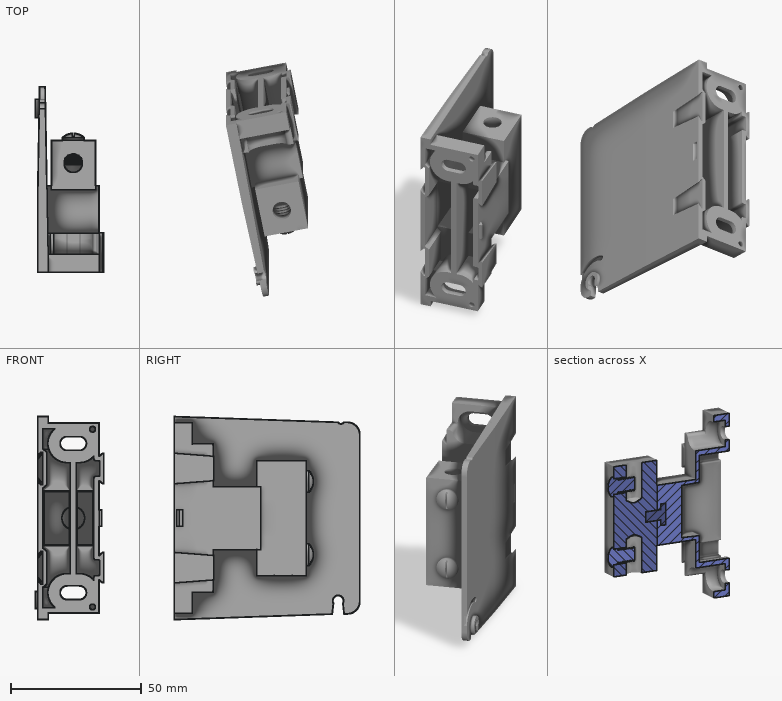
import cadquery as cq
import math

HEIGHT = 78.1
PLATE_LENGTH = 71.4
PLATE_THICKNESS = 4.15
EDGE_DRAFT = 2.0
FACE_DRAFT = 1.0
OUTER_BEND_Y = 31.8
CORNER_RADIUS = 4.85

HOOK_Y = 63.0
HOOK_Z = -31.8
HOOK_BORE_RADIUS = 2.0
HOOK_RING_RADIUS = 3.6
HOOK_RING_HEIGHT = 0.9
NECK_DROP = 1.1
NECK_HALF_WIDTH = 1.8
MOUTH_HALF_WIDTH = 2.5
NOTCH_FRONT_Y = 62.95
NOTCH_REAR_Y = 65.2
NOTCH_DEPTH = 0.6

GROOVE_RADIUS = 9.7
GROOVE_WIDTH = 1.95
GROOVE_END_ANGLE = 26.0
GROOVE_DEPTH = 1.2
LIP_START_Y = 70.4
LIP_CREST_Y = 71.0
LIP_CREST_DEPTH = 0.4

BASE_WIDTH = 23.6
FLANGE_HALF_HEIGHT = 36.55
FLANGE_DEPTH = 7.0
LOWER_HALF_HEIGHT = 28.5
LOWER_DEPTH = 15.0
UPPER_HALF_HEIGHT = 12.1
UPPER_DEPTH = 33.35
BODY_X = 2.35
JOIN = 0.8
CENTER_X = 13.7

LUG_Z = 28.7
SLOT_STRAIGHT = 4.85
SLOT_RADIUS = 2.6
LUG_RADIUS = 7.35
LUG_FLOOR = 2.0
RECESS_RADIUS = 5.15
RECESS_LIP_ROUND = 1.65
PLATE_STEP_X = 4.8
PLATE_STEP_DROP = 0.4
PILOT_X = 21.1
PILOT_Z = 34.1
PILOT_RADIUS = 1.1
PILOT_DEPTH = 3.9

WALL_INNER_X = 1.9
CAVITY_RIGHT_X = 21.6
CAVITY_HALF_HEIGHT = 26.5
CAVITY_DEPTH = 13.1
CORNER_POCKET_HALF_HEIGHT = 34.4
CORNER_POCKET_DEPTH = 6.25
RIB_THICKNESS = 2.2
DEEP_HALF_HEIGHT = 10.55
DEEP_LEFT_X = 2.1
DEEP_FLOOR_Y = 28.1
DEEP_DRAFT = 1.5

KEY_Z = 19.05
KEY_LENGTH = 15.3
KEY_TAPER = 1.2
ROOT_HALF_WIDTH = 4.7
KEY_TIP_HALF_WIDTH = 5.85
KEY_SLANT_DEPTH = 1.3
KEY_DEPTH = 1.8
KEYWAY_TIP_HALF_WIDTH = 6.3
KEYWAY_SLANT_DEPTH = 1.25
KEYWAY_DEPTH = 1.9
KEYWAY_BACK_X = 3.4
KEYWAY_BACK_HALF_WIDTH = 6.3
KEYWAY_BACK_CHAMFER = 1.3
KEY_HOLLOW_X = 23.8
KEY_HOLLOW_HALF_WIDTH = 3.05
KEY_HOLLOW_ROUND = 0.55

WEDGE_FRONT_Y = 1.1
WEDGE_RIDGE_Y = 2.0
WEDGE_REAR_Y = 3.35
WEDGE_HEIGHT = 1.1
WEDGE_HALF_WIDTH = 3.2
CATCH_DEPTH = 1.25
CATCH_HALF_WIDTH = 3.75

BLOCK_WIDTH = 17.0
BLOCK_X = 5.2
BLOCK_Y = 31.8
BLOCK_DEPTH = 19.0
BLOCK_HALF_HEIGHT = 22.1
WIRE_HOLE_Y = 41.95
WIRE_HOLE_RADIUS = 3.5
WIRE_HOLE_DEPTH = 14.3
DRILL_TIP_ANGLE = 118.0

CLAMP_Z = 14.05
CLAMP_RADIUS = 3.3
THREAD_PITCH = 1.0
THREAD_DEPTH = 0.55
THREAD_TURNS = 7
CLAMP_TIP_Y = 41.5
CLAMP_HEAD_RADIUS = 4.2
CLAMP_RIM_HEIGHT = 1.0
CLAMP_HEAD_HEIGHT = 2.7
DRIVE_SLOT_WIDTH = 0.6
DRIVE_SLOT_DEPTH = 1.1

MOUNT_HEAD_RADIUS = 4.4
MOUNT_HEAD_HEIGHT = 1.95
MOUNT_RADIUS = 2.35
MOUNT_TIP_Y = 36.7

BLOCK_REAR_Y = BLOCK_Y + BLOCK_DEPTH
SIDES = (-1, 1)


def front_plane(y, x=0.0, z=0.0):
    """Workplane facing the front; a negative extrusion runs toward +Y."""
    return cq.Workplane("XZ", origin=(x, y, z))


def side_plane(x):
    return cq.Workplane("YZ", origin=(x, 0, 0))


def block_between(x0, x1, y0, y1, z0, z1):
    return cq.Workplane("XY").box(x1 - x0, y1 - y0, z1 - z0, centered=False).translate((x0, y0, z0))


def cylinder_along_y(x, z, radius, y0, y1):
    return front_plane(y0, x, z).circle(radius).extrude(y0 - y1)


def obround_along_y(z, radius, y0, y1):
    slot = front_plane(y0, CENTER_X, z).slot2D(SLOT_STRAIGHT + 2 * radius, 2 * radius)
    return slot.extrude(y0 - y1)


def dovetail(x, z, slant_depth, depth, tip_half_width):
    """Dovetail rising toward +X from a face at x, tapering from front to back."""

    def outline(half_loss):
        root = ROOT_HALF_WIDTH - half_loss
        tip = tip_half_width - half_loss
        upper = [(0, root), (slant_depth, tip), (depth, tip)]
        return upper + [(across, -half) for across, half in reversed(upper)]

    front = front_plane(0, x, z).polyline(outline(0)).close()
    rear = front.workplane(offset=-KEY_LENGTH).polyline(outline(KEY_TAPER)).close()
    return rear.loft(ruled=True)


def snap_wedge(x, height, half_width):
    """Wedge rising toward +X from a face at x, steep at the front and ramped at the rear."""
    profile = [
        (x, WEDGE_FRONT_Y),
        (x + height, WEDGE_FRONT_Y),
        (x + height, WEDGE_RIDGE_Y),
        (x, WEDGE_REAR_Y),
    ]
    return cq.Workplane("XY").polyline(profile).close().extrude(half_width, both=True)


def edge_z(y):
    """Height of the drafted top edge of the plate at depth y."""
    return HEIGHT / 2 - y * math.tan(math.radians(EDGE_DRAFT))


def outer_x(y):
    """Position of the outer face of the plate at depth y behind the bend."""
    return (y - OUTER_BEND_Y) * math.tan(math.radians(FACE_DRAFT))


REAR_LEAN = outer_x(PLATE_LENGTH)


def plate_outline():
    corner_y = PLATE_LENGTH - CORNER_RADIUS
    flat_z = edge_z(NOTCH_FRONT_Y)
    corner_z = flat_z - CORNER_RADIUS
    diagonal = CORNER_RADIUS * math.sin(math.pi / 4)
    notch_middle = ((NOTCH_FRONT_Y + NOTCH_REAR_Y) / 2, flat_z - NOTCH_DEPTH)
    return (
        side_plane(0)
        .moveTo(0, -HEIGHT / 2)
        .lineTo(0, HEIGHT / 2)
        .lineTo(NOTCH_FRONT_Y, flat_z)
        .threePointArc(notch_middle, (NOTCH_REAR_Y, flat_z))
        .lineTo(corner_y, flat_z)
        .threePointArc((corner_y + diagonal, corner_z + diagonal), (PLATE_LENGTH, corner_z))
        .lineTo(PLATE_LENGTH, -corner_z)
        .threePointArc((corner_y + diagonal, -corner_z - diagonal), (corner_y, -flat_z))
        .lineTo(NOTCH_FRONT_Y, -flat_z)
        .close()
    )


def make_plate():
    rear_inner_x = PLATE_THICKNESS - PLATE_LENGTH * math.tan(math.radians(FACE_DRAFT))
    section = [
        (0, 0),
        (PLATE_THICKNESS, 0),
        (rear_inner_x, PLATE_LENGTH),
        (REAR_LEAN, PLATE_LENGTH),
        (0, OUTER_BEND_Y),
    ]
    drafted = cq.Workplane("XY").polyline(section).close().extrude(HEIGHT / 2, both=True)
    return plate_outline().extrude(PLATE_THICKNESS).intersect(drafted)


def add_hook(plate):
    """Raised ring on the outer face, with a bore opening downward through a flared mouth."""
    ring = side_plane(-HOOK_RING_HEIGHT).center(HOOK_Y, HOOK_Z).circle(HOOK_RING_RADIUS)
    plate = plate.union(ring.extrude(HOOK_RING_HEIGHT + REAR_LEAN + JOIN))
    cut_length = HOOK_RING_HEIGHT + PLATE_THICKNESS
    bore = side_plane(-HOOK_RING_HEIGHT).center(HOOK_Y, HOOK_Z).circle(HOOK_BORE_RADIUS).extrude(cut_length)
    mouth_z = -HEIGHT / 2 - HOOK_Z
    mouth = (
        side_plane(-HOOK_RING_HEIGHT)
        .center(HOOK_Y, HOOK_Z)
        .polyline([
            (-NECK_HALF_WIDTH, -NECK_DROP),
            (NECK_HALF_WIDTH, -NECK_DROP),
            (MOUTH_HALF_WIDTH, mouth_z),
            (-MOUTH_HALF_WIDTH, mouth_z),
        ])
        .close()
        .extrude(cut_length)
    )
    return plate.cut(bore).cut(mouth)


def groove_tool():
    """Arc-shaped cutter that runs out through the rear edge over a low ridge."""
    inner = GROOVE_RADIUS - GROOVE_WIDTH / 2
    outer = GROOVE_RADIUS + GROOVE_WIDTH / 2
    end = math.radians(GROOVE_END_ANGLE)
    tip = end + GROOVE_WIDTH / 2 / GROOVE_RADIUS

    def on_circle(radius, angle):
        return (-radius * math.sin(angle), radius * math.cos(angle))

    quarter = math.pi / 2
    arc = (
        side_plane(0)
        .center(HOOK_Y, HOOK_Z)
        .moveTo(outer, 0)
        .threePointArc(on_circle(outer, (end - quarter) / 2), on_circle(outer, end))
        .threePointArc(on_circle(GROOVE_RADIUS, tip), on_circle(inner, end))
        .threePointArc(on_circle(inner, (end - quarter) / 2), on_circle(inner, -quarter))
        .close()
        .extrude(PLATE_THICKNESS)
    )
    front_y = HOOK_Y - outer
    depth_profile = (
        cq.Workplane("XY")
        .polyline([
            (0, front_y),
            (outer_x(front_y) + GROOVE_DEPTH, front_y),
            (outer_x(LIP_START_Y) + GROOVE_DEPTH, LIP_START_Y),
            (outer_x(LIP_CREST_Y) + LIP_CREST_DEPTH, LIP_CREST_Y),
            (REAR_LEAN + GROOVE_DEPTH, PLATE_LENGTH),
            (0, PLATE_LENGTH),
        ])
        .close()
        .extrude(HEIGHT / 2, both=True)
    )
    return arc.intersect(depth_profile)


def make_base():
    """Solid stepped base: flange, lower block, and upper block with the block seat."""
    base = block_between(BODY_X, BASE_WIDTH, 0, FLANGE_DEPTH, -FLANGE_HALF_HEIGHT, FLANGE_HALF_HEIGHT)
    lower = block_between(
        BODY_X, BASE_WIDTH, FLANGE_DEPTH, LOWER_DEPTH, -LOWER_HALF_HEIGHT, LOWER_HALF_HEIGHT
    )
    upper = block_between(BODY_X, BASE_WIDTH, 0, UPPER_DEPTH, -UPPER_HALF_HEIGHT, UPPER_HALF_HEIGHT)
    seat = block_between(
        BLOCK_X, BLOCK_X + BLOCK_WIDTH, BLOCK_Y, UPPER_DEPTH, -UPPER_HALF_HEIGHT, UPPER_HALF_HEIGHT
    )
    for side in SIDES:
        recess = obround_along_y(side * LUG_Z, RECESS_RADIUS, LUG_FLOOR, LOWER_DEPTH)
        base = base.cut(recess)
        lower = lower.cut(recess)
    right_lip = cq.selectors.BoxSelector(
        (CENTER_X, FLANGE_DEPTH, -LUG_Z),
        (BASE_WIDTH - JOIN, LOWER_DEPTH, LUG_Z),
    )
    lower = lower.edges(right_lip).edges("|Y").edges("<Z or >Z").fillet(RECESS_LIP_ROUND)
    step_z = LOWER_HALF_HEIGHT - PLATE_STEP_DROP
    for z0, z1 in ((step_z, LOWER_HALF_HEIGHT), (-LOWER_HALF_HEIGHT, -step_z)):
        lower = lower.cut(block_between(BODY_X, PLATE_STEP_X, FLANGE_DEPTH, LOWER_DEPTH, z0, z1))
    return base.union(lower).union(upper.cut(seat))


def cavity_tool():
    """Front hollow, leaving the lugs, the centre rib and the walls behind the keyways."""
    cavity = block_between(
        WALL_INNER_X, CAVITY_RIGHT_X, 0, CAVITY_DEPTH, -CAVITY_HALF_HEIGHT, CAVITY_HALF_HEIGHT
    )
    corner_pockets = block_between(
        WALL_INNER_X, CENTER_X - SLOT_STRAIGHT / 2, 0, CORNER_POCKET_DEPTH,
        -CORNER_POCKET_HALF_HEIGHT, CORNER_POCKET_HALF_HEIGHT,
    )
    cavity = cavity.union(corner_pockets)
    base_half = KEYWAY_BACK_HALF_WIDTH + KEYWAY_BACK_CHAMFER
    for side in SIDES:
        cavity = cavity.cut(
            front_plane(0, 0, side * KEY_Z)
            .polyline([
                (WALL_INNER_X, base_half),
                (KEYWAY_BACK_X, KEYWAY_BACK_HALF_WIDTH),
                (KEYWAY_BACK_X, -KEYWAY_BACK_HALF_WIDTH),
                (WALL_INNER_X, -base_half),
            ])
            .close()
            .extrude(-CAVITY_DEPTH)
        )
        hollow = block_between(
            CAVITY_RIGHT_X - JOIN, KEY_HOLLOW_X, 0, CAVITY_DEPTH,
            side * KEY_Z - KEY_HOLLOW_HALF_WIDTH, side * KEY_Z + KEY_HOLLOW_HALF_WIDTH,
        )
        cavity = cavity.union(hollow.edges("|Y and >X").fillet(KEY_HOLLOW_ROUND))
    mouth_edges = cq.selectors.BoxSelector(
        (CAVITY_RIGHT_X - KEY_HOLLOW_ROUND, 0, -KEY_Z - ROOT_HALF_WIDTH),
        (CAVITY_RIGHT_X + KEY_HOLLOW_ROUND, CAVITY_DEPTH, KEY_Z + ROOT_HALF_WIDTH),
    )
    cavity = cavity.edges(mouth_edges).edges("|Y").fillet(KEY_HOLLOW_ROUND)
    for side in SIDES:
        cavity = cavity.cut(obround_along_y(side * LUG_Z, LUG_RADIUS, 0, CAVITY_DEPTH))
    rib = block_between(
        CENTER_X - RIB_THICKNESS / 2, CENTER_X + RIB_THICKNESS / 2, 0, CAVITY_DEPTH, -HEIGHT / 2, HEIGHT / 2
    )
    return cavity.cut(rib)


def deep_pocket_tool(x0, x1):
    """Drafted pocket reaching from the cavity up into the upper block."""
    opening = front_plane(CAVITY_DEPTH, (x0 + x1) / 2).rect(x1 - x0, 2 * DEEP_HALF_HEIGHT)
    return opening.extrude(CAVITY_DEPTH - DEEP_FLOOR_Y, taper=DEEP_DRAFT)


def mount_screw_shape():
    """Plain screw with its head flush in the deep floor; also the cutter for its seat."""
    head_end = DEEP_FLOOR_Y + MOUNT_HEAD_HEIGHT
    head = cylinder_along_y(CENTER_X, 0, MOUNT_HEAD_RADIUS, DEEP_FLOOR_Y, head_end)
    return head.union(cylinder_along_y(CENTER_X, 0, MOUNT_RADIUS, DEEP_FLOOR_Y, MOUNT_TIP_Y))


def make_housing():
    housing = add_hook(make_plate()).cut(groove_tool()).union(make_base())
    for side in SIDES:
        z = side * KEY_Z
        housing = housing.union(dovetail(BASE_WIDTH, z, KEY_SLANT_DEPTH, KEY_DEPTH, KEY_TIP_HALF_WIDTH))
    housing = housing.union(snap_wedge(BASE_WIDTH, WEDGE_HEIGHT, WEDGE_HALF_WIDTH))
    housing = housing.cut(cavity_tool())
    housing = housing.cut(deep_pocket_tool(DEEP_LEFT_X, CENTER_X - RIB_THICKNESS / 2))
    housing = housing.cut(deep_pocket_tool(CENTER_X + RIB_THICKNESS / 2, CAVITY_RIGHT_X))
    for side in SIDES:
        z = side * KEY_Z
        housing = housing.cut(dovetail(0, z, KEYWAY_SLANT_DEPTH, KEYWAY_DEPTH, KEYWAY_TIP_HALF_WIDTH))
        housing = housing.cut(obround_along_y(side * LUG_Z, SLOT_RADIUS, 0, LUG_FLOOR))
        housing = housing.cut(cylinder_along_y(PILOT_X, side * PILOT_Z, PILOT_RADIUS, 0, PILOT_DEPTH))
    housing = housing.cut(snap_wedge(0, CATCH_DEPTH, CATCH_HALF_WIDTH))
    return housing.cut(mount_screw_shape())


def clamp_thread_points():
    """Half section of the thread, as a ring of V grooves for each turn from the tip up."""
    root = CLAMP_RADIUS - THREAD_DEPTH
    points = [(root, CLAMP_TIP_Y)]
    for turn in range(THREAD_TURNS):
        turn_y = CLAMP_TIP_Y + turn * THREAD_PITCH
        points.append((CLAMP_RADIUS, turn_y + THREAD_PITCH / 2))
        points.append((root, turn_y + THREAD_PITCH))
    points.append((CLAMP_RADIUS, CLAMP_TIP_Y + THREAD_TURNS * THREAD_PITCH + THREAD_PITCH / 2))
    return points


def clamp_screw(z):
    """Slotted round-head screw, revolved about its own axis along Y."""
    rim_y = BLOCK_REAR_Y + CLAMP_RIM_HEIGHT
    top_y = BLOCK_REAR_Y + CLAMP_HEAD_HEIGHT
    rise = top_y - rim_y
    dome_radius = (CLAMP_HEAD_RADIUS**2 + rise**2) / (2 * rise)
    half_x = CLAMP_HEAD_RADIUS / 2
    half_y = top_y - dome_radius + math.sqrt(dome_radius**2 - half_x**2)
    screw = (
        cq.Workplane("XY", origin=(CENTER_X, 0, z))
        .polyline([(0, CLAMP_TIP_Y), *clamp_thread_points()])
        .lineTo(CLAMP_RADIUS, BLOCK_REAR_Y)
        .lineTo(CLAMP_HEAD_RADIUS, BLOCK_REAR_Y)
        .lineTo(CLAMP_HEAD_RADIUS, rim_y)
        .threePointArc((half_x, half_y), (0, top_y))
        .close()
        .revolve(360, (0, 0, 0), (0, 1, 0))
    )
    drive_slot = block_between(
        CENTER_X - DRIVE_SLOT_WIDTH / 2, CENTER_X + DRIVE_SLOT_WIDTH / 2,
        top_y - DRIVE_SLOT_DEPTH, top_y,
        z - CLAMP_HEAD_RADIUS, z + CLAMP_HEAD_RADIUS,
    )
    return screw.cut(drive_slot)


def wire_hole_tool(side):
    """Drilled hole with a conical bottom, entering from the top or bottom end."""
    cone = WIRE_HOLE_RADIUS / math.tan(math.radians(DRILL_TIP_ANGLE / 2))
    end = BLOCK_HALF_HEIGHT
    floor = end - WIRE_HOLE_DEPTH
    profile = [(0, end), (WIRE_HOLE_RADIUS, end), (WIRE_HOLE_RADIUS, floor), (0, floor - cone)]
    return (
        cq.Workplane("XZ", origin=(CENTER_X, WIRE_HOLE_Y, 0))
        .polyline([(x, side * z) for x, z in profile])
        .close()
        .revolve(360, (0, 0, 0), (0, 1, 0))
    )


def make_block():
    block = block_between(
        BLOCK_X, BLOCK_X + BLOCK_WIDTH, BLOCK_Y, BLOCK_REAR_Y, -BLOCK_HALF_HEIGHT, BLOCK_HALF_HEIGHT
    )
    for side in SIDES:
        block = block.cut(wire_hole_tool(side))
        block = block.cut(cylinder_along_y(CENTER_X, side * CLAMP_Z, CLAMP_RADIUS, CLAMP_TIP_Y, BLOCK_REAR_Y))
    return block.cut(mount_screw_shape())


housing = make_housing()
terminal_block = make_block()
mount_screw = mount_screw_shape()
clamp_screws = [clamp_screw(side * CLAMP_Z) for side in SIDES]

result = cq.Compound.makeCompound([
    housing.val(),
    terminal_block.val(),
    mount_screw.val(),
    *[screw.val() for screw in clamp_screws],
])